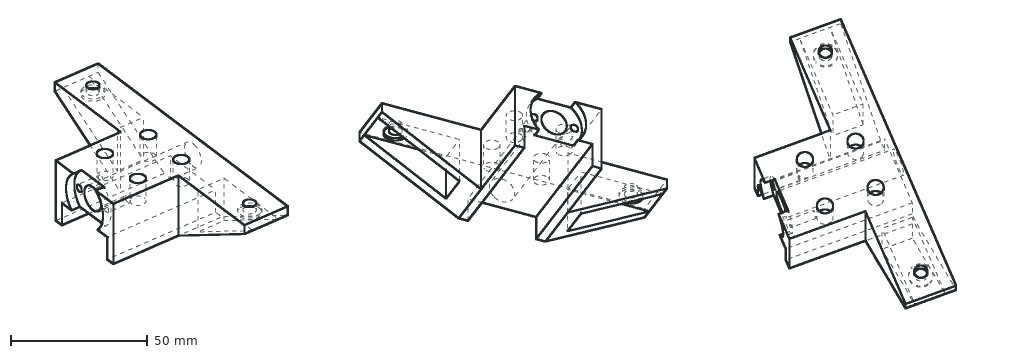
import cadquery as cq

length = 115.0
depth = 50.0
height = 27.0

block_width = 35.0
wing_depth = 20.0
plate_thickness = 4.0

pocket_width = 12.0
pocket_rear_margin = 4.3
pocket_floor_height = 4.0

channel_width = 27.5
channel_height = 10.0

axis_drop = 9.0
recess_diameter = 22.4
recess_depth = 3.8
bore_diameter = 10.2
pin_diameter = 3.0
pin_spacing = 16.3
pin_depth = 10.0

mount_diameter = 5.0
mount_margin = 10.0
counterbore_diameter = 9.0
counterbore_seat = 3.0
blind_diameter = 6.0
blind_spacing = 20.0
blind_rear_margin = 13.0
blind_depth = 10.0

plate_bottom = height - plate_thickness
axis_height = height - axis_drop
front_y = -depth
mount_x = length / 2 - mount_margin
wing_run = (length - block_width) / 2


def body():
    """Tapered wing profile joined to the deeper central block."""
    wings = (
        cq.Workplane("XZ")
        .moveTo(-length / 2, height)
        .lineTo(length / 2, height)
        .lineTo(length / 2, plate_bottom)
        .lineTo(block_width / 2, 0)
        .lineTo(-block_width / 2, 0)
        .lineTo(-length / 2, plate_bottom)
        .close()
        .extrude(wing_depth)
    )
    block = cq.Workplane("XY").box(block_width, depth, height, centered=(True, False, False))
    return wings.union(block.translate((0, front_y, 0)))


def wing_pocket(side):
    """Box that hollows one wing; side is -1 or 1."""
    inner_x = block_width / 2 + wing_run * pocket_floor_height / plate_bottom
    pocket_length = length / 2 - inner_x
    box = cq.Workplane("XY").box(pocket_length, pocket_width, plate_bottom, centered=(True, False, False))
    center_x = side * (inner_x + pocket_length / 2)
    return box.translate((center_x, -pocket_rear_margin - pocket_width, 0))


def channel():
    """Channel running the full depth of the block."""
    box = cq.Workplane("XY").box(channel_width, depth, channel_height, centered=(True, False, False))
    return box.translate((0, front_y, 0))


def front_hole(x, diameter, hole_depth):
    """Cylinder running rearwards from the front face at the axis height."""
    plane = cq.Workplane("XZ", origin=(x, front_y, axis_height))
    return plane.circle(diameter / 2).extrude(-hole_depth)


def top_hole(x, y, diameter, hole_depth):
    """Cylinder running down from the top face."""
    plane = cq.Workplane("XY", origin=(x, y, height))
    return plane.circle(diameter / 2).extrude(-hole_depth)


def mount_counterbore(side):
    """Screw head seat sunk into the underside of the flange, inside the wing pocket."""
    plane = cq.Workplane("XY", origin=(side * mount_x, -mount_margin, plate_bottom))
    return plane.circle(counterbore_diameter / 2).extrude(plate_thickness - counterbore_seat)


result = body().cut(channel())
result = result.cut(front_hole(0, recess_diameter, recess_depth))
result = result.cut(front_hole(0, bore_diameter, depth))

for side in (-1, 1):
    result = result.cut(wing_pocket(side))
    result = result.cut(front_hole(side * pin_spacing / 2, pin_diameter, recess_depth + pin_depth))
    result = result.cut(top_hole(side * mount_x, -mount_margin, mount_diameter, plate_thickness))
    result = result.cut(mount_counterbore(side))
    for row in range(2):
        y = -blind_rear_margin - row * blind_spacing
        result = result.cut(top_hole(side * blind_spacing / 2, y, blind_diameter, blind_depth))